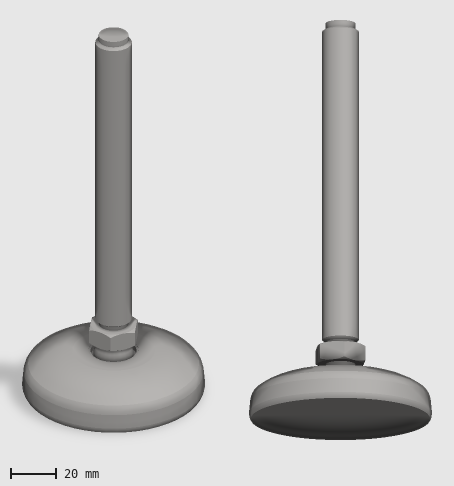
import cadquery as cq
import math

total_height = 177.2

pad_diameter = 79.7
pad_bottom_diameter = 78.1
pad_foot_height = 2.5
pad_wall_top_diameter = 78.5
pad_wall_top = 8.9
dome_diameter = 74.5
dome_bottom = 12.5
pad_top_diameter = 36.0
pad_top = 19.1
dome_bulge = 1.6
shoulder_bulge = 0.4
foot_bulge = 0.2

socket_diameter = 20.0
socket_depth = 2.7
socket_step_diameter = 22.0
socket_step_depth = 0.2

collar_diameter = 17.5
collar_widest_height = 18.3
collar_bulge = 0.5
neck_diameter = 13.0
collar_top = 22.3

hex_flats = 20.0
hex_bottom = 24.5
hex_top = 32.6
hex_chamfer_angle = 30.0

rod_diameter = 16.0
rod_bottom = 34.4
rod_top = 174.5
rod_chamfer_height = 1.0


def bulged_arc(profile, start, end, bulge):
    """Continue the profile from start to end with an arc standing out from its chord by bulge."""
    run = end[0] - start[0]
    rise = end[1] - start[1]
    chord = math.hypot(run, rise)
    middle_x = (start[0] + end[0]) / 2 + bulge * rise / chord
    middle_z = (start[1] + end[1]) / 2 - bulge * run / chord
    return profile.threePointArc((middle_x, middle_z), end)


def make_pad():
    """Round pad with a rounded foot, a slightly tapered wall, a domed top and a stepped socket."""
    foot_bottom = (pad_bottom_diameter / 2, 0)
    foot_top = (pad_diameter / 2, pad_foot_height)
    wall_top = (pad_wall_top_diameter / 2, pad_wall_top)
    dome_foot = (dome_diameter / 2, dome_bottom)
    dome_rim = (pad_top_diameter / 2, pad_top)
    profile = cq.Workplane("XZ").lineTo(*foot_bottom)
    profile = bulged_arc(profile, foot_bottom, foot_top, foot_bulge)
    profile = profile.lineTo(*wall_top)
    profile = bulged_arc(profile, wall_top, dome_foot, shoulder_bulge)
    profile = bulged_arc(profile, dome_foot, dome_rim, dome_bulge)
    pad = profile.lineTo(0, pad_top).close().revolve(360, (0, 0, 0), (0, 1, 0))
    for diameter, depth in (
        (socket_step_diameter, socket_step_depth),
        (socket_diameter, socket_depth),
    ):
        recess = cq.Workplane("XY").workplane(offset=pad_top - depth).circle(diameter / 2).extrude(depth)
        pad = pad.cut(recess)
    return pad


def make_stem():
    """Rounded collar, neck, chamfered rod and reduced tip turned as one piece."""
    neck_radius = neck_diameter / 2
    rod_radius = rod_diameter / 2
    socket_floor = pad_top - socket_depth
    collar_widest = (collar_diameter / 2, collar_widest_height)
    neck_foot = (neck_radius, collar_top)
    profile = (
        cq.Workplane("XZ")
        .moveTo(0, socket_floor)
        .lineTo(collar_diameter / 2, socket_floor)
        .lineTo(*collar_widest)
    )
    profile = bulged_arc(profile, collar_widest, neck_foot, collar_bulge)
    profile = (
        profile
        .lineTo(neck_radius, rod_bottom)
        .lineTo(rod_radius, rod_bottom + rod_chamfer_height)
        .lineTo(rod_radius, rod_top - rod_chamfer_height)
        .lineTo(neck_radius, rod_top)
        .lineTo(neck_radius, total_height)
        .lineTo(0, total_height)
    )
    return profile.close().revolve(360, (0, 0, 0), (0, 1, 0))


def make_hexagon():
    """Hexagon with corners on the Y axis, its corners chamfered at both ends."""
    corner_radius = hex_flats / math.sqrt(3)
    face_radius = hex_flats / 2
    chamfer_height = (corner_radius - face_radius) * math.tan(math.radians(hex_chamfer_angle))
    prism = (
        cq.Workplane("XY")
        .workplane(offset=hex_bottom)
        .polygon(6, 2 * corner_radius)
        .extrude(hex_top - hex_bottom)
        .rotate((0, 0, 0), (0, 0, 1), 90)
    )
    chamfer_envelope = (
        cq.Workplane("XZ")
        .moveTo(0, hex_bottom)
        .lineTo(face_radius, hex_bottom)
        .lineTo(corner_radius, hex_bottom + chamfer_height)
        .lineTo(corner_radius, hex_top - chamfer_height)
        .lineTo(face_radius, hex_top)
        .lineTo(0, hex_top)
        .close()
        .revolve(360, (0, 0, 0), (0, 1, 0))
    )
    return prism.intersect(chamfer_envelope)


result = make_pad().union(make_stem()).union(make_hexagon())